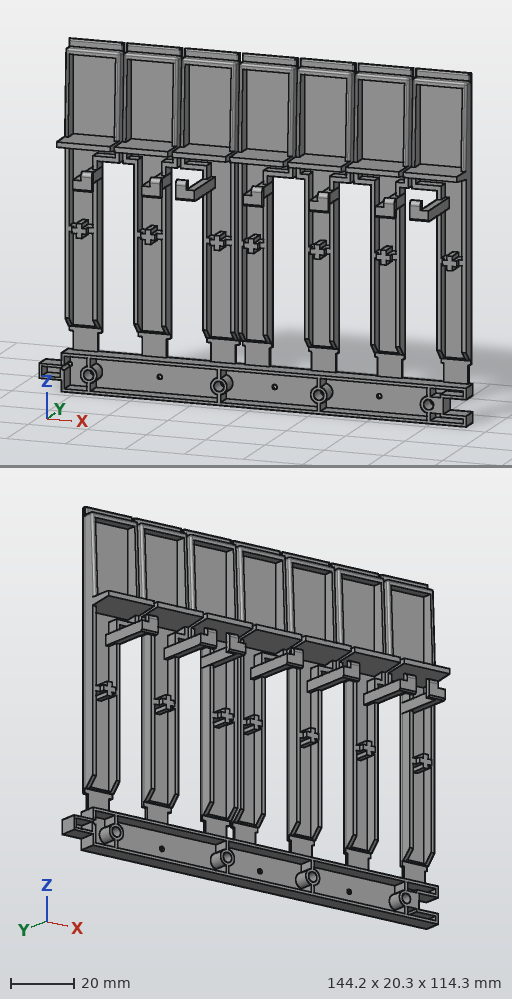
import cadquery as cq

plate = 1.0
rail_wall = 1.0
draft = 1.0

keyboard_start = 8.2
keyboard_width = 135.5
key_width = 18.5

wide_stem = 11.0
narrow_stem = 10.0
key_styles = [
    (wide_stem, 0, 1),
    (wide_stem, 1 / 2, 1),
    (wide_stem, 1, -1),
    (narrow_stem, 0, 1),
    (narrow_stem, 1 / 3, 1),
    (narrow_stem, 2 / 3, 1),
    (narrow_stem, 1, -1),
]
key_pitch = (keyboard_width - key_width) / (len(key_styles) - 1)

rail_start = 7.5
rail_end = 144.2
rail_height = 12.7
rail_depth = 6.3
rib_width = 1.2
boss_dia = 5.5
screw_hole_dia = 3.3
pilot_hole_dia = 1.6
hole_z = 6.2
boss_xs = [16.7, 60.7, 94.4, 131.5]
pilot_xs = [38.8, 77.5, 112.9]
tongue_height = 4.9
tongue_wall = 0.9
tongue_pocket_end = 7.0
corner_hole_x = 8.4
corner_hole_z = 8.0
slot_height = 5.3
slot_start = 136.5

key_top = 114.3
neck_top = 18.9
wall_bottom = 20.5
head_bottom = 76.0
corner_radius = 0.6
neck_radius = 0.36
neck_width = 8.2

key_wall = 1.5
shoulder_wall = 1.7
sill = 0.5
head_cavity_top = 110.1
stem_depth = 5.0
sill_depth = 1.6

slope_bottom_depth = 5.9
slope_top_depth = 4.6
ledge_top = 112.0
lip_depth = 1.7
front_radius = 0.7
lip_radius = 0.5
lip_inset = 0.1
back_bevel = 0.3

shelf_top = 83.3
shelf_depth = 13.3
shelf_tip = 81.6
shelf_root = 79.9

hook_depth = 20.3
arm_width = 2.7
arm_bottom = 69.6
arm_top = 73.2
foot_width = 3.6
foot_top = 76.0
foot_thickness = 1.7
foot_radius = 1.5
hook_bevel = 0.6

post_z = 53.2
post_span = 4.8
post_bar = 1.9
post_depth = 6.9


def block(x0, x1, z0, z1, depth_from, depth_to):
    """Box given by its X and Z limits and its distances in front of the playing face."""
    return (
        cq.Workplane("XY")
        .box(x1 - x0, depth_to - depth_from, z1 - z0, centered=False)
        .translate((x0, -depth_to, z0))
    )


def side_extrusion(x0, x1, profile):
    """Extrude a (depth, Z) profile from x0 to x1."""
    points = [(-depth, z) for depth, z in profile]
    return cq.Workplane("YZ", origin=(x0, 0, 0)).polyline(points).close().extrude(x1 - x0)


def drafted_block(x0, x1, z0, z1, depth):
    """Box starting at the front of the plate whose walls lean inward."""
    return (
        cq.Workplane("XZ", origin=((x0 + x1) / 2, -plate, (z0 + z1) / 2))
        .rect(x1 - x0, z1 - z0)
        .extrude(depth, taper=draft)
    )


def cylinders(xs, dia):
    """Full-depth cylinders along Y on the hole line of the rail."""
    return (
        cq.Workplane("XZ")
        .pushPoints([(x, hole_z) for x in xs])
        .circle(dia / 2)
        .extrude(rail_depth)
    )


def make_plate(left, stem_left, stem_right):
    """Playing face: head, stem and the thin neck that bends where it meets the rail."""
    stem_mid = (stem_left + stem_right) / 2
    head = block(left, left + key_width, head_bottom, key_top, 0, plate)
    head = head.edges("|Y").edges("<Z").fillet(corner_radius)
    head = head.edges("|X").edges(">Z and >Y").chamfer(back_bevel)
    stem = block(stem_left, stem_right, neck_top, shelf_top, 0, plate)
    neck = block(stem_mid - neck_width / 2, stem_mid + neck_width / 2, rail_height, neck_top, 0, plate)
    foot_corners = cq.selectors.BoxSelector(
        (stem_left - neck_radius, -plate, neck_top - neck_radius),
        (stem_right + neck_radius, 0, neck_top + neck_radius),
    )
    foot = stem.union(neck).edges("|Y").edges(foot_corners).fillet(neck_radius)
    return head.union(foot)


def make_shelf(left):
    """Tapered shelf across the head, from the plate forward."""
    profile = [
        (plate, shelf_root),
        (shelf_depth, shelf_tip),
        (shelf_depth, shelf_top),
        (plate, shelf_top),
    ]
    return side_extrusion(left, left + key_width, profile)


def make_walls(left, stem_left, stem_right):
    """Solid head and stem in front of the plate, before they are hollowed."""
    right = left + key_width
    underside_rise = (shelf_tip - shelf_root) / (shelf_depth - plate)
    profile = [
        (plate, wall_bottom),
        (sill_depth, wall_bottom),
        (stem_depth, wall_bottom + stem_depth - sill_depth),
        (stem_depth, shelf_root + underside_rise * (stem_depth - plate)),
        (shelf_depth, shelf_tip),
        (shelf_depth, shelf_top),
        (slope_bottom_depth, shelf_top),
        (slope_top_depth, ledge_top),
        (plate, ledge_top),
    ]
    overrun = 1.5
    head = drafted_block(left, right, head_bottom, ledge_top + overrun, shelf_depth)
    stem = drafted_block(stem_left, stem_right, wall_bottom - overrun, shelf_top, stem_depth)
    walls = head.union(stem).intersect(side_extrusion(left, right, profile))
    front_edges = cq.selectors.BoxSelector(
        (left - overrun, -slope_bottom_depth, shelf_top + overrun),
        (right + overrun, -plate - front_radius, ledge_top + overrun),
    )
    return walls.edges(front_edges).fillet(front_radius)


def make_lip(left):
    """Raised lip in front of the plate at the key tip, rounded along its front."""
    lip = block(left + lip_inset, left + key_width - lip_inset, head_cavity_top, key_top, plate, lip_depth)
    return lip.faces("<Y").edges("not <Z").fillet(lip_radius)


def make_cavity(left, stem_left, stem_right):
    """Hollow of head and stem, interrupted by the shelf."""
    head = block(
        left + key_wall,
        left + key_width - key_wall,
        head_bottom + shoulder_wall,
        head_cavity_top,
        plate,
        shelf_depth,
    )
    stem = block(
        stem_left + key_wall, stem_right - key_wall, wall_bottom + sill, shelf_top, plate, shelf_depth
    )
    return head.union(stem).cut(make_shelf(left))


def make_hook(stem_left, stem_right, side):
    """Arm standing on one stem wall, with a foot at its tip that points sideways."""
    if side > 0:
        arm_left = stem_right - arm_width
        foot_left = stem_right
    else:
        arm_left = stem_left
        foot_left = stem_left - foot_width
    arm = block(arm_left, arm_left + arm_width, arm_bottom, arm_top, plate, hook_depth)
    foot = block(
        foot_left, foot_left + foot_width, arm_bottom, foot_top, hook_depth - foot_thickness, hook_depth
    )
    foot = foot.edges("|X").edges(">Z and <Y").fillet(foot_radius)
    return arm.union(foot).edges("|X").edges("<Z and <Y").chamfer(hook_bevel)


def make_post(stem_left, stem_right):
    """Cross-shaped post, braced to both stem walls by a web."""
    mid = (stem_left + stem_right) / 2
    half_span = post_span / 2
    half_bar = post_bar / 2
    upright = block(mid - half_bar, mid + half_bar, post_z - half_span, post_z + half_span, plate, post_depth)
    crossbar = block(mid - half_span, mid + half_span, post_z - half_bar, post_z + half_bar, plate, post_depth)
    web = block(
        stem_left + key_wall / 2,
        stem_right - key_wall / 2,
        post_z - half_bar,
        post_z + half_bar,
        plate,
        stem_depth,
    )
    return upright.union(crossbar).union(web)


def make_key(left, stem_width, stem_position, hook_side):
    stem_left = left + stem_position * (key_width - stem_width)
    stem_right = stem_left + stem_width
    walls = make_walls(left, stem_left, stem_right).union(make_lip(left))
    walls = walls.cut(make_cavity(left, stem_left, stem_right))
    return (
        make_plate(left, stem_left, stem_right)
        .union(walls)
        .union(make_hook(stem_left, stem_right, hook_side))
        .union(make_post(stem_left, stem_right))
    )


def make_rail():
    """Open channel with ribs and screw bosses, a tongue at its left end and a slot at its right."""
    wall = rail_wall
    tongue_bottom = hole_z - tongue_height / 2
    tongue_top = hole_z + tongue_height / 2
    slot_bottom = hole_z - slot_height / 2
    slot_top = hole_z + slot_height / 2

    rail = block(rail_start, rail_end, 0, rail_height, 0, rail_depth)
    rail = rail.cut(
        block(rail_start + wall, rail_end - wall, wall, rail_height - wall, plate, rail_depth)
    )

    for x in boss_xs:
        rail = rail.union(block(x - rib_width / 2, x + rib_width / 2, 0, rail_height, 0, rail_depth))
    rail = rail.union(cylinders(boss_xs, boss_dia))

    last_boss_x = boss_xs[-1]
    rail = rail.union(block(last_boss_x, slot_start, slot_bottom, slot_top, 0, rail_depth))
    rail = rail.union(
        block(slot_start - wall, rail_end, slot_bottom - wall, slot_top + wall, 0, rail_depth)
    )
    rail = rail.cut(block(slot_start, rail_end, slot_bottom, slot_top, 0, rail_depth))

    rail = rail.union(block(0, rail_start, tongue_bottom, tongue_top, 0, rail_depth))
    rail = rail.cut(
        block(
            tongue_wall,
            tongue_pocket_end,
            tongue_bottom + tongue_wall,
            tongue_top - tongue_wall,
            plate,
            rail_depth,
        )
    )

    rail = rail.cut(cylinders(boss_xs, screw_hole_dia))
    rail = rail.cut(cylinders(pilot_xs, pilot_hole_dia))
    corner_hole = (
        cq.Workplane("XZ")
        .center(corner_hole_x, corner_hole_z)
        .circle(pilot_hole_dia / 2)
        .extrude(rail_depth)
    )
    return rail.cut(corner_hole)


rail = make_rail()
keys = [
    make_key(keyboard_start + index * key_pitch, *style)
    for index, style in enumerate(key_styles)
]
result = cq.Compound.makeCompound([rail.solids().val()] + [key.solids().val() for key in keys])